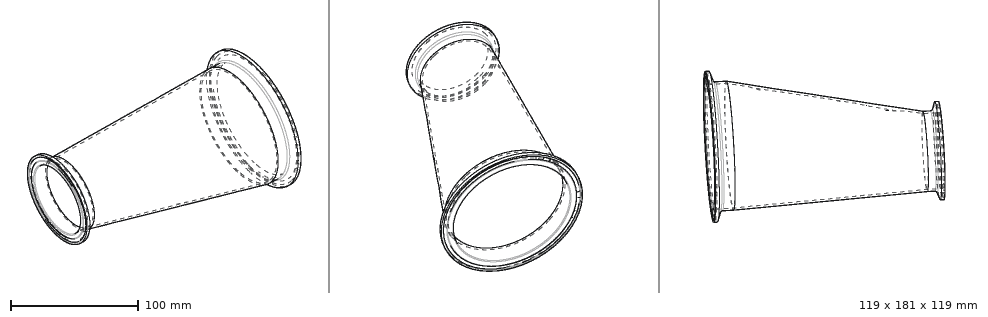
import cadquery as cq
import math

TOTAL_LENGTH = 181.0
WALL = 1.8

SMALL_TUBE_RADIUS = 31.7
SMALL_FLANGE_RADIUS = 38.7
SMALL_FERRULE_LENGTH = 12.7

LARGE_TUBE_RADIUS = 50.9
LARGE_FLANGE_DIAMETER = 119.0
LARGE_FLANGE_RADIUS = LARGE_FLANGE_DIAMETER / 2
LARGE_FERRULE_LENGTH = 16.1

RIM_THICKNESS = 2.9
CLAMP_ANGLE = 20.0
NECK_FILLET = 1.8
BORE_FILLET = 0.7
GROOVE_INSET = 3.5
GROOVE_HALF_WIDTH = 1.5
GROOVE_DEPTH = 1.5
GROOVE_EDGE_FILLET = 0.5

SMALL_AXIS_X = SMALL_TUBE_RADIUS - LARGE_TUBE_RADIUS


def round_edge(solid, radius, y, fillet):
    """Round the circular edge that has the given radius and height along Y."""
    tolerance = 0.02
    edges = solid.edges("%CIRCLE").filter(
        lambda edge: abs(edge.radius() - radius) < tolerance
        and abs(edge.Center().y - y) < tolerance
    )
    return edges.fillet(fillet)


def make_ferrule(tube_radius, flange_radius, length):
    """Ferrule about the Y axis, sealing face at Y = 0, tube end at Y = length."""
    bore_radius = tube_radius - WALL
    slope_rise = (flange_radius - tube_radius) * math.tan(math.radians(CLAMP_ANGLE))
    neck_y = RIM_THICKNESS + slope_rise
    groove_radius = flange_radius - GROOVE_INSET
    groove_inner = groove_radius - GROOVE_HALF_WIDTH
    groove_outer = groove_radius + GROOVE_HALF_WIDTH

    body = (
        cq.Workplane("XY")
        .moveTo(bore_radius, 0)
        .lineTo(groove_inner, 0)
        .threePointArc((groove_radius, GROOVE_DEPTH), (groove_outer, 0))
        .lineTo(flange_radius, 0)
        .lineTo(flange_radius, RIM_THICKNESS)
        .lineTo(tube_radius, neck_y)
        .lineTo(tube_radius, length)
        .lineTo(bore_radius, length)
        .close()
        .revolve(360, (0, 0, 0), (0, 1, 0))
    )

    body = round_edge(body, tube_radius, neck_y, NECK_FILLET)
    body = round_edge(body, bore_radius, 0, BORE_FILLET)
    for edge_radius in (groove_inner, groove_outer):
        body = round_edge(body, edge_radius, 0, GROOVE_EDGE_FILLET)
    return body


def make_cone(small_radius, large_radius):
    """Solid eccentric cone joining the tube ends of the two ferrules."""
    small_end = cq.Wire.makeCircle(
        small_radius, cq.Vector(SMALL_AXIS_X, SMALL_FERRULE_LENGTH, 0), cq.Vector(0, 1, 0)
    )
    large_end = cq.Wire.makeCircle(
        large_radius, cq.Vector(0, TOTAL_LENGTH - LARGE_FERRULE_LENGTH, 0), cq.Vector(0, 1, 0)
    )
    return cq.Workplane(cq.Solid.makeLoft([small_end, large_end], True))


def make_reducer():
    outside = make_cone(SMALL_TUBE_RADIUS, LARGE_TUBE_RADIUS)
    inside = make_cone(SMALL_TUBE_RADIUS - WALL, LARGE_TUBE_RADIUS - WALL)
    return outside.cut(inside)


small_ferrule = make_ferrule(
    SMALL_TUBE_RADIUS, SMALL_FLANGE_RADIUS, SMALL_FERRULE_LENGTH
).translate((SMALL_AXIS_X, 0, 0))

large_ferrule = (
    make_ferrule(LARGE_TUBE_RADIUS, LARGE_FLANGE_RADIUS, LARGE_FERRULE_LENGTH)
    .mirror("XZ")
    .translate((0, TOTAL_LENGTH, 0))
)

reducer = make_reducer()

result = cq.Compound.makeCompound([small_ferrule.val(), reducer.val(), large_ferrule.val()])